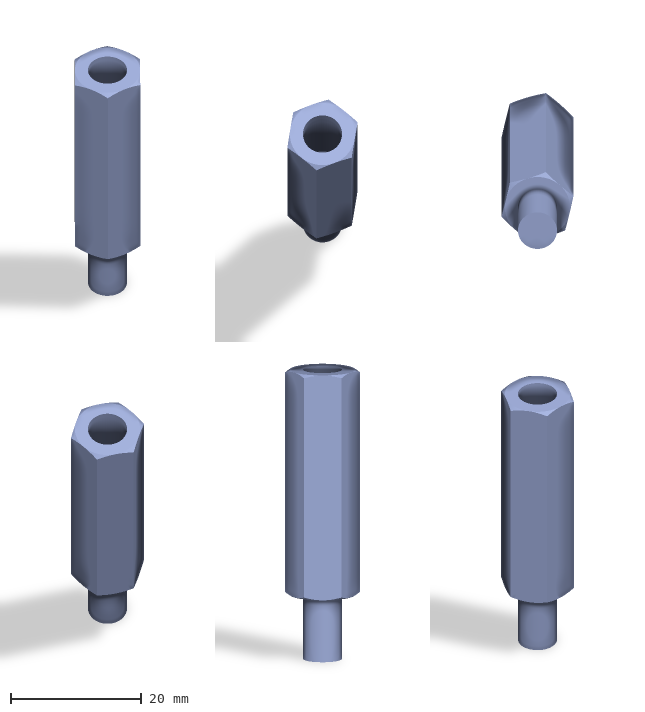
import cadquery as cq
import math

total_length = 45.0
stud_length = 10.0
across_flats = 10.0
thread_diameter = 6.0
bore_depth = 18.0
chamfer_angle = 30.0
corner_count = 6
corner_direction = 90.0

hex_length = total_length - stud_length
half_flat_angle = 180 / corner_count
across_corners = across_flats / math.cos(math.radians(half_flat_angle))
chamfer_width = (across_corners - across_flats) / 2
chamfer_height = chamfer_width * math.tan(math.radians(chamfer_angle))


def make_hex_spacer():
    """Hexagonal spacer with turned corners and a blind bore in its top face."""
    prism = (
        cq.Workplane("XY", origin=(0, 0, stud_length))
        .transformed(rotate=(0, 0, corner_direction))
        .polygon(corner_count, across_corners)
        .extrude(hex_length)
    )
    turned_blank = (
        cq.Workplane("XY", origin=(0, 0, stud_length))
        .circle(across_corners / 2)
        .extrude(hex_length)
        .faces("<Z or >Z")
        .chamfer(chamfer_height, chamfer_width)
    )
    bore = (
        cq.Workplane("XY", origin=(0, 0, total_length - bore_depth))
        .circle(thread_diameter / 2)
        .extrude(bore_depth)
    )
    return prism.intersect(turned_blank).cut(bore)


def make_stud():
    """Plain round stud that meets the bottom face of the spacer."""
    return cq.Workplane("XY").circle(thread_diameter / 2).extrude(stud_length)


hex_spacer = make_hex_spacer()
stud = make_stud()

result = cq.Compound.makeCompound([hex_spacer.val(), stud.val()])